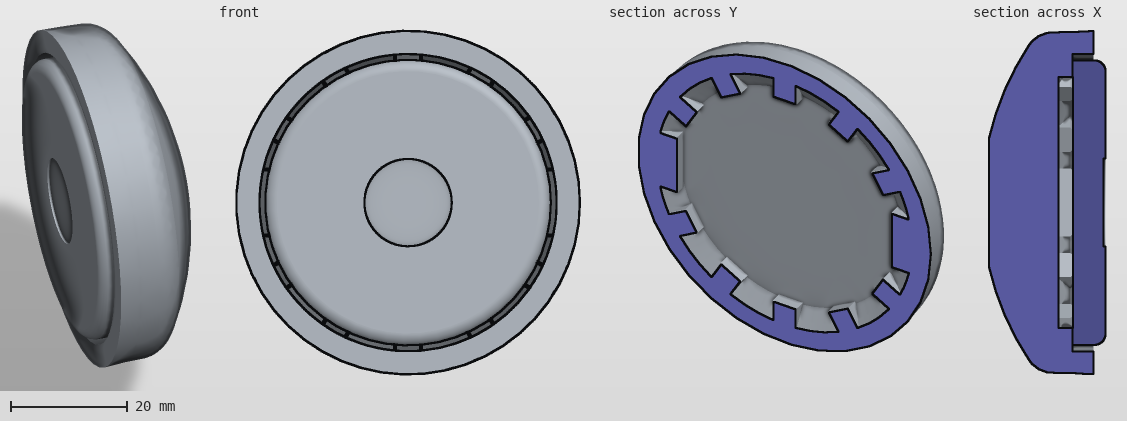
import cadquery as cq
import math


rim_radius = 29.5
draft = 2.0
dome_height = 18.0
dome_flat_radius = 11.0
dome_sphere_radius = 49.0
shoulder_fillet = 5.0

bore_radius = 25.5
seat_depth = 3.6
cone_start_depth = 4.0
cone_angle = 30.0
cone_height = 2.0
rib_pitch = 30
rib_top_width = 4.1
wide_rib_angles = (90, 270)
wide_rib_top_width = 11.0
rib_edge_chamfer = 0.35
rib_length = 4.0
rib_embed = 1.0

disc_radius = 24.5
disc_projection = 2.1
disc_edge_fillet = 2.0
disc_recess_radius = 7.5
disc_recess_depth = 0.4

draft_slope = math.tan(math.radians(draft))
sphere_center = dome_height - math.sqrt(dome_sphere_radius**2 - dome_flat_radius**2)
floor_depth = cone_start_depth + cone_height
floor_radius = bore_radius - cone_height / math.tan(math.radians(cone_angle))


def revolve_about_y(profile):
    """Turn a closed XY profile once around the Y axis."""
    return profile.revolve(360, (0, 0, 0), (0, 1, 0))


def sphere_height(radius):
    """Height of the dome sphere at a distance from the axis."""
    return sphere_center + math.sqrt(dome_sphere_radius**2 - radius**2)


def make_cover_blank():
    """Solid outside shape: drafted wall, rounded shoulder and flat-topped dome."""
    wall_top_radius = rim_radius - sphere_height(rim_radius) * draft_slope
    wall_top = sphere_height(wall_top_radius)
    arc_middle_radius = (wall_top_radius + dome_flat_radius) / 2
    profile = (
        cq.Workplane("XY")
        .lineTo(rim_radius, 0)
        .lineTo(wall_top_radius, wall_top)
        .threePointArc(
            (arc_middle_radius, sphere_height(arc_middle_radius)),
            (dome_flat_radius, dome_height),
        )
        .lineTo(0, dome_height)
        .close()
    )
    blank = revolve_about_y(profile)
    return blank.edges(">>Y[2]").fillet(shoulder_fillet)


def make_cavity():
    """Space inside the cover: straight bore, then a cone down to a flat floor."""
    profile = (
        cq.Workplane("XY")
        .lineTo(bore_radius, 0)
        .lineTo(bore_radius, cone_start_depth)
        .lineTo(floor_radius, floor_depth)
        .lineTo(0, floor_depth)
        .close()
    )
    return revolve_about_y(profile)


def make_rib(angle, top_width):
    """Radial rib on the floor cone with chamfered edges, its top flush with the disc seat."""
    half_top = top_width / 2
    half_width = half_top + rib_edge_chamfer
    chamfer_end = seat_depth + rib_edge_chamfer
    rib_at_z = (
        cq.Workplane("XY")
        .polyline([
            (-half_top, seat_depth),
            (half_top, seat_depth),
            (half_width, chamfer_end),
            (half_width, floor_depth),
            (-half_width, floor_depth),
            (-half_width, chamfer_end),
        ])
        .close()
        .extrude(rib_length + rib_embed)
        .translate((0, 0, bore_radius - rib_length))
    )
    return rib_at_z.rotate((0, 0, 0), (0, 1, 0), angle)


def make_cover():
    """Hollow cover with its ring of disc-supporting ribs."""
    cover = make_cover_blank().cut(make_cavity())
    for angle in range(0, 360, rib_pitch):
        top_width = wide_rib_top_width if angle in wide_rib_angles else rib_top_width
        cover = cover.union(make_rib(angle, top_width))
    return cover


def make_disc():
    """Disc resting on the ribs, with a rounded front edge and a shallow round recess."""
    disc = (
        cq.Workplane("XZ", origin=(0, seat_depth, 0))
        .circle(disc_radius)
        .extrude(seat_depth + disc_projection)
        .faces("<Y").edges().fillet(disc_edge_fillet)
    )
    recess = (
        cq.Workplane("XZ", origin=(0, disc_recess_depth - disc_projection, 0))
        .circle(disc_recess_radius)
        .extrude(disc_recess_depth)
    )
    return disc.cut(recess)


cover = make_cover()
disc = make_disc()
result = cq.Compound.makeCompound([cover.val(), disc.val()])